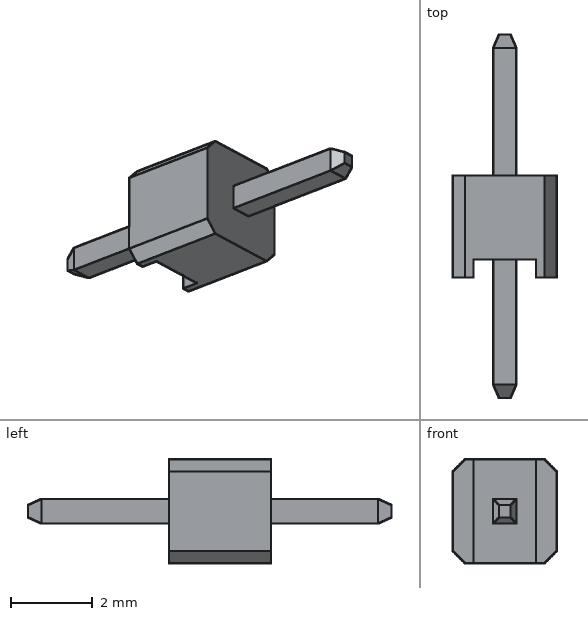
import cadquery as cq

pitch = 2.54
housing_depth = 2.5
corner_chamfer = 0.3
channel_width = 1.524
channel_depth = 0.44

pin_width = 0.57
pin_height = 0.61
pin_length = 8.88
rear_reach = 3.44
taper_length = 0.33
tip_width = pin_width / 2
tip_height = pin_height / 2

rear_tip_y = housing_depth / 2 + rear_reach
front_tip_y = rear_tip_y - pin_length


def make_housing():
    """Block with its four lengthwise edges chamfered and a channel across its front face."""
    block = cq.Workplane("XY").box(pitch, housing_depth, pitch)
    block = block.edges("|Y").chamfer(corner_chamfer)
    channel_center_y = (channel_depth - housing_depth) / 2
    channel = cq.Workplane("XY").box(channel_width, channel_depth, pitch)
    return block.cut(channel.translate((0, channel_center_y, 0)))


def make_taper(tip_y, shank_y):
    """Pyramid frustum from the small tip face to the full pin section."""
    return (
        cq.Workplane("XZ", origin=(0, tip_y, 0))
        .rect(tip_width, tip_height)
        .workplane(offset=tip_y - shank_y)
        .rect(pin_width, pin_height)
        .loft(ruled=True)
    )


def make_pin():
    """Straight shank with a taper at each end."""
    shank_front_y = front_tip_y + taper_length
    shank_rear_y = rear_tip_y - taper_length
    shank_length = shank_rear_y - shank_front_y
    shank_center_y = (shank_front_y + shank_rear_y) / 2
    shank = cq.Workplane("XY").box(pin_width, shank_length, pin_height)
    shank = shank.translate((0, shank_center_y, 0))
    front_taper = make_taper(front_tip_y, shank_front_y)
    rear_taper = make_taper(rear_tip_y, shank_rear_y)
    return shank.union(front_taper).union(rear_taper)


result = make_housing().union(make_pin())